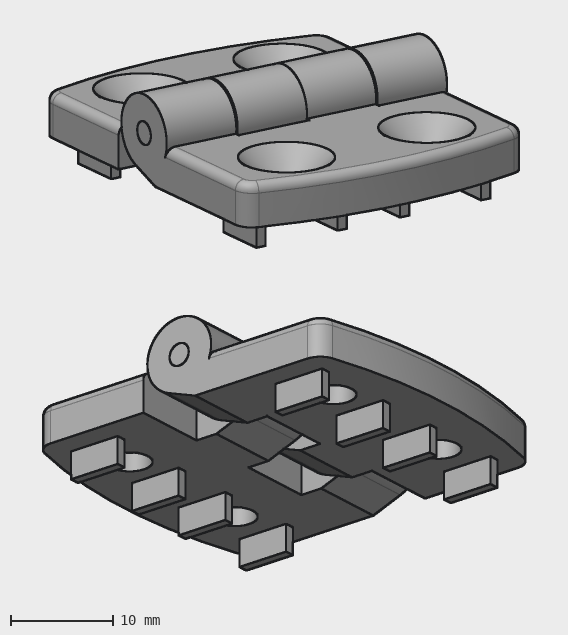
import cadquery as cq
import math


hinge_span = 39.95
hinge_width = 33.0
half_span = hinge_span / 2
half_width = hinge_width / 2

plate_thickness = 4.5
side_arc_radius = 57.9
corner_radius = 2.0
top_edge_radius = 1.0

barrel_radius = 4.0
axis_height = 5.0
pin_radius = 1.2
ramp_start = 2.0
slot_wall = 4.47
knuckle_joint = 8.23
knuckle_gap = 0.15

hole_x = 12.75
hole_y = half_width / 2
hole_diameter = 4.47
sink_diameter = 9.5
sink_angle = 90.0

tab_x = 12.8
tab_ys = (3.67, 13.22)
tab_length = 5.85
tab_width = 1.08
tab_height = 3.0

inner_end = knuckle_joint - knuckle_gap / 2
outer_start = knuckle_joint + knuckle_gap / 2
knuckle_spans = ((-half_width, -outer_start), (0.0, inner_end))
slot_spans = ((-outer_start, 0.0), (inner_end, half_width))


def make_plate():
    """Flat leaf with a bowed outer side, rounded corners and a rounded top rim."""
    arc_drop = side_arc_radius - math.sqrt(side_arc_radius**2 - half_width**2)
    corner_x = half_span - arc_drop
    plate = (
        cq.Workplane("XY")
        .moveTo(ramp_start, -half_width)
        .lineTo(corner_x, -half_width)
        .threePointArc((half_span, 0), (corner_x, half_width))
        .lineTo(ramp_start, half_width)
        .close()
        .extrude(plate_thickness)
    )
    plate = plate.edges("|Z and (not <X)").fillet(corner_radius)
    return plate.faces(">Z").edges("not <X").fillet(top_edge_radius)


def make_slot(y_start, y_end):
    """Clearance in the plate for one knuckle of the other leaf."""
    return (
        cq.Workplane("XY", origin=(0, y_start, 0))
        .box(slot_wall, y_end - y_start, plate_thickness, centered=False)
    )


def make_knuckle(y_start, y_end):
    """Barrel section with a ramp that runs tangent from the plate underside."""
    length = y_end - y_start
    reach = math.hypot(ramp_start, axis_height)
    tangent_length = math.sqrt(reach**2 - barrel_radius**2)
    ramp_angle = math.atan2(axis_height, -ramp_start) + math.asin(barrel_radius / reach)
    tangent_point = (
        ramp_start + tangent_length * math.cos(ramp_angle),
        tangent_length * math.sin(ramp_angle),
    )
    plane = cq.Workplane("XZ", origin=(0, y_start, 0))
    barrel = plane.center(0, axis_height).circle(barrel_radius).extrude(-length)
    ramp = (
        plane.polyline([tangent_point, (ramp_start, 0), (ramp_start, axis_height), (0, axis_height)])
        .close()
        .extrude(-length)
    )
    return barrel.union(ramp)


def make_pin():
    """Hinge pin, flush with both ends of the barrel."""
    return (
        cq.Workplane("XZ", origin=(0, -half_width, axis_height))
        .circle(pin_radius)
        .extrude(-hinge_width)
    )


def make_leaf():
    """Complete leaf on the +X side."""
    leaf = make_plate()
    for y_start, y_end in slot_spans:
        leaf = leaf.cut(make_slot(y_start, y_end))
    for y_start, y_end in knuckle_spans:
        leaf = leaf.union(make_knuckle(y_start, y_end))
    leaf = leaf.cut(make_pin())

    leaf = (
        leaf.copyWorkplane(cq.Workplane("XY", origin=(0, 0, plate_thickness)))
        .pushPoints([(hole_x, -hole_y), (hole_x, hole_y)])
        .cskHole(hole_diameter, sink_diameter, sink_angle)
    )

    tab_centres = [(tab_x, side * y) for y in tab_ys for side in (-1, 1)]
    tabs = (
        cq.Workplane("XY")
        .pushPoints(tab_centres)
        .rect(tab_length, tab_width)
        .extrude(-tab_height)
    )
    return leaf.union(tabs)


leaves = []
for turn in (0, 180):
    leaves.append(make_leaf().rotate((0, 0, 0), (0, 0, 1), turn))
pin = make_pin()

result = cq.Compound.makeCompound([*(leaf.val() for leaf in leaves), pin.val()])